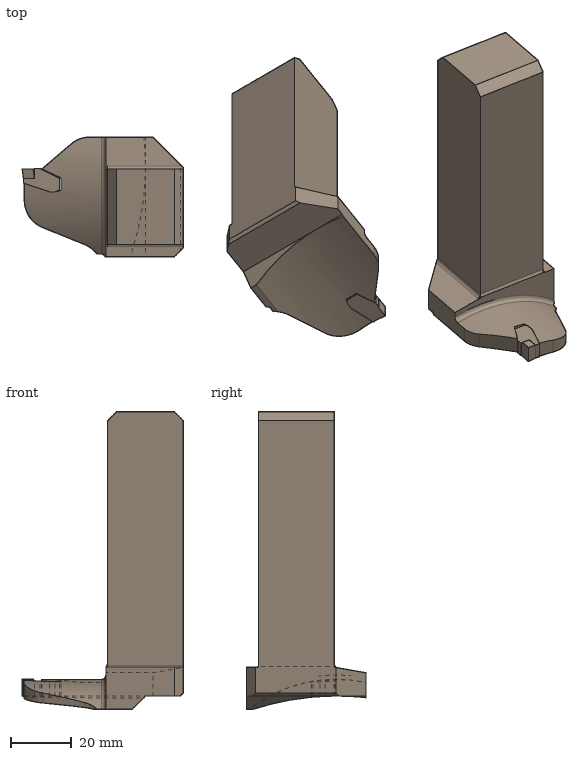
import cadquery as cq
import math


SHANK_WIDTH = 25.0
SHANK_HALF = SHANK_WIDTH / 2
TOTAL_HEIGHT = 98.05
SHANK_TOP_CHAMFER = 3.0

FOOT_LEFT = -13.0
FOOT_RIGHT = SHANK_HALF
FOOT_FRONT = -16.5
FOOT_BACK = 22.97
LEDGE_HEIGHT = 13.9
BACK_SLOPE_ANGLE = 10.0
BACK_CORNER_CHAMFER = 10.0
FRONT_CORNER_CHAMFER = 3.0
LOWER_CORNER_CHAMFER = 1.0
STEP_HEIGHT = 4.35
STEP_INNER_X = 0.0
SHANK_ROOT_RADIUS = 1.2
SHANK_FRONT_ROOT_RADIUS = 0.5

ARC_CENTER_Y = 13.1
BLADE_TOP_RADIUS = 46.65
BLADE_TOP_CREST = 9.85
BLADE_BOTTOM_RADIUS = 88.0
BLADE_BOTTOM_CREST = STEP_HEIGHT
BLADE_ROOT_RADIUS = 1.5

BLADE_TIP_X = -39.95
BACK_ARC_RADIUS = 9.0
BACK_ARC_X = -18.5
BACK_EDGE_ANGLE = 40.5
NOSE_RADIUS = 10.0
NOSE_START_Y = 2.35
FRONT_EDGE_ANGLE = 22.0
FRONT_EDGE_END_X = -20.1
THROAT_RADIUS = 10.0

INSERT_TIP_X = SHANK_HALF - 53.1
INSERT_TIP_Y = 12.45
INSERT_HEEL_X = -40.2
INSERT_HEEL_Y = 7.8
INSERT_SHOULDER_Y = 12.65
INSERT_SHOULDER_LEFT = -36.45
INSERT_SHOULDER_RIGHT = -34.65
INSERT_END_X = -28.25
INSERT_END_BACK_Y = 9.45
INSERT_END_FRONT_Y = 5.45
INSERT_CORNER_LEFT = -31.6
INSERT_CORNER_RIGHT = -29.7
INSERT_CORNER_Y = 4.95
INSERT_END_GAP = 0.4
INSERT_TOP_Z = 9.6
INSERT_TOP_DROP_ANGLE = 2.5
CHIP_LAND_Z = 10.03
CHIP_LAND_FRONT_Y = 9.4
CHIP_LAND_END_X = -37.0

STOCK_BOTTOM = -10.0
CUT_MARGIN = 5.0
EDGE_SEARCH = 0.1


def box_between(x_range, y_range, z_range):
    size = [high - low for low, high in (x_range, y_range, z_range)]
    corner = cq.Vector(x_range[0], y_range[0], z_range[0])
    return cq.Workplane("XY").box(*size, centered=False).translate(corner)


def cylinder_along_x(radius, crest, x_start, x_end):
    """A round bar along X whose highest line lies at the given height."""
    plane = cq.Workplane("YZ", origin=(x_start, ARC_CENTER_Y, crest - radius))
    return plane.circle(radius).extrude(x_end - x_start)


def make_shank():
    height = TOTAL_HEIGHT - LEDGE_HEIGHT
    shank = cq.Workplane("XY", origin=(0, 0, LEDGE_HEIGHT)).rect(SHANK_WIDTH, SHANK_WIDTH).extrude(height)
    shank = shank.faces(">Z").edges("|Y").chamfer(SHANK_TOP_CHAMFER)
    root = cq.Workplane("XY").rect(SHANK_WIDTH, SHANK_WIDTH).extrude(LEDGE_HEIGHT)
    return shank.union(root)


def make_foot_stock():
    """Foot block before its underside is trimmed."""
    back_drop = (FOOT_BACK - SHANK_HALF) * math.tan(math.radians(BACK_SLOPE_ANGLE))
    side_profile = [
        (FOOT_FRONT, STOCK_BOTTOM),
        (FOOT_BACK, STOCK_BOTTOM),
        (FOOT_BACK, LEDGE_HEIGHT - back_drop),
        (SHANK_HALF, LEDGE_HEIGHT),
        (FOOT_FRONT, LEDGE_HEIGHT),
    ]
    block = cq.Workplane("YZ", origin=(FOOT_LEFT, 0, 0)).polyline(side_profile).close()
    block = block.extrude(FOOT_RIGHT - FOOT_LEFT)
    block = block.edges("|Z and >X and >Y").chamfer(BACK_CORNER_CHAMFER)
    return block.edges("|Z and >X and <Y").chamfer(FRONT_CORNER_CHAMFER)


def make_blade_stock():
    """Blade outline under the upper cylinder, still solid below."""
    back_turn = math.radians(BACK_EDGE_ANGLE)
    front_turn = math.radians(FRONT_EDGE_ANGLE)

    back_center = (BACK_ARC_X, FOOT_BACK - BACK_ARC_RADIUS)

    def on_back_arc(turn):
        return (back_center[0] - BACK_ARC_RADIUS * math.sin(turn),
                back_center[1] + BACK_ARC_RADIUS * math.cos(turn))

    back_edge_start = on_back_arc(back_turn)
    back_edge_rise = back_edge_start[1] - INSERT_TIP_Y
    back_edge_end = (back_edge_start[0] - back_edge_rise / math.tan(back_turn), INSERT_TIP_Y)

    nose_center = (BLADE_TIP_X + NOSE_RADIUS, NOSE_START_Y)

    def on_nose(angle):
        return (nose_center[0] + NOSE_RADIUS * math.cos(angle),
                nose_center[1] + NOSE_RADIUS * math.sin(angle))

    nose_end_angle = 1.5 * math.pi - front_turn
    nose_end = on_nose(nose_end_angle)
    nose_middle = on_nose((math.pi + nose_end_angle) / 2)

    front_edge_run = FRONT_EDGE_END_X - nose_end[0]
    front_edge_end = (FRONT_EDGE_END_X, nose_end[1] - front_edge_run * math.tan(front_turn))

    throat_center = (front_edge_end[0] - THROAT_RADIUS * math.sin(front_turn),
                     front_edge_end[1] - THROAT_RADIUS * math.cos(front_turn))
    throat_start_angle = math.pi / 2 - front_turn
    throat_end_angle = math.asin((FOOT_FRONT - throat_center[1]) / THROAT_RADIUS)

    def on_throat(angle):
        return (throat_center[0] + THROAT_RADIUS * math.cos(angle),
                throat_center[1] + THROAT_RADIUS * math.sin(angle))

    outline = (
        cq.Workplane("XY", origin=(0, 0, STOCK_BOTTOM))
        .moveTo(FOOT_LEFT, FOOT_BACK)
        .lineTo(BACK_ARC_X, FOOT_BACK)
        .threePointArc(on_back_arc(back_turn / 2), back_edge_start)
        .lineTo(*back_edge_end)
        .lineTo(BLADE_TIP_X, INSERT_TIP_Y)
        .lineTo(BLADE_TIP_X, NOSE_START_Y)
        .threePointArc(nose_middle, nose_end)
        .lineTo(*front_edge_end)
        .threePointArc(on_throat((throat_start_angle + throat_end_angle) / 2), on_throat(throat_end_angle))
        .lineTo(FOOT_LEFT, FOOT_FRONT)
        .close()
    )
    prism = outline.extrude(BLADE_TOP_CREST + CUT_MARGIN - STOCK_BOTTOM)
    top = cylinder_along_x(BLADE_TOP_RADIUS, BLADE_TOP_CREST, BLADE_TIP_X - CUT_MARGIN, FOOT_LEFT)
    return prism.intersect(top)


def round_shank_root(body):
    """Radius the back and front sides of the shank where they stand on the foot."""
    def root_edge(y):
        return cq.selectors.NearestToPointSelector((0, y, LEDGE_HEIGHT))

    body = body.edges(root_edge(SHANK_HALF)).fillet(SHANK_ROOT_RADIUS)
    return body.edges(root_edge(-SHANK_HALF)).fillet(SHANK_FRONT_ROOT_RADIUS)


def make_left_root():
    """Root radius of the left shank side, cut off where it overhangs the narrow ledge."""
    ledge_width = -SHANK_HALF - FOOT_LEFT
    center_x = -SHANK_HALF - SHANK_ROOT_RADIUS
    center_z = LEDGE_HEIGHT + SHANK_ROOT_RADIUS
    start_angle = math.acos((SHANK_ROOT_RADIUS - ledge_width) / SHANK_ROOT_RADIUS)

    def on_arc(angle):
        return (center_x + SHANK_ROOT_RADIUS * math.cos(angle),
                center_z - SHANK_ROOT_RADIUS * math.sin(angle))

    return (
        cq.Workplane("XZ", origin=(0, SHANK_HALF, 0))
        .moveTo(-SHANK_HALF, center_z)
        .threePointArc(on_arc(start_angle / 2), on_arc(start_angle))
        .lineTo(FOOT_LEFT, LEDGE_HEIGHT)
        .lineTo(-SHANK_HALF, LEDGE_HEIGHT)
        .close()
        .extrude(SHANK_WIDTH)
    )


def trim_underside(body):
    """Cut the flat, the curved hollow, the step and the lower right corner."""
    x_range = (INSERT_TIP_X - CUT_MARGIN, FOOT_RIGHT + CUT_MARGIN)
    y_range = (FOOT_FRONT - CUT_MARGIN, FOOT_BACK + CUT_MARGIN)
    body = body.cut(box_between(x_range, y_range, (STOCK_BOTTOM - CUT_MARGIN, 0)))
    body = body.cut(cylinder_along_x(BLADE_BOTTOM_RADIUS, BLADE_BOTTOM_CREST, *x_range))
    step = (
        cq.Workplane("XZ", origin=(0, y_range[1], 0))
        .polyline([
            (STEP_INNER_X - STEP_HEIGHT, 0),
            (STEP_INNER_X, STEP_HEIGHT),
            (FOOT_RIGHT - LOWER_CORNER_CHAMFER, STEP_HEIGHT),
            (FOOT_RIGHT, STEP_HEIGHT + LOWER_CORNER_CHAMFER),
            (FOOT_RIGHT, 0),
        ])
        .close()
        .extrude(y_range[1] - y_range[0])
    )
    return body.cut(step)


def insert_plan_prism(end_x, top_z):
    """Insert outline in plan, standing on the curved underside, with its inner end at end_x."""
    outline = [
        (INSERT_TIP_X, INSERT_TIP_Y),
        (INSERT_SHOULDER_LEFT, INSERT_TIP_Y),
        (INSERT_SHOULDER_LEFT, INSERT_SHOULDER_Y),
        (INSERT_SHOULDER_RIGHT, INSERT_SHOULDER_Y),
        (end_x, INSERT_END_BACK_Y),
        (end_x, INSERT_END_FRONT_Y),
        (INSERT_CORNER_RIGHT, INSERT_CORNER_Y),
        (INSERT_CORNER_LEFT, INSERT_CORNER_Y),
        (INSERT_HEEL_X, INSERT_HEEL_Y),
        (INSERT_HEEL_X, CHIP_LAND_FRONT_Y),
    ]
    prism = cq.Workplane("XY").polyline(outline).close().extrude(top_z)
    hollow = cylinder_along_x(BLADE_BOTTOM_RADIUS, BLADE_BOTTOM_CREST, INSERT_TIP_X - CUT_MARGIN, FOOT_LEFT)
    return prism.cut(hollow)


def make_holder():
    foot = make_foot_stock().union(make_shank())
    foot = round_shank_root(foot)
    foot = foot.union(make_left_root())

    holder = foot.union(make_blade_stock())
    blade_root = cq.selectors.BoxSelector(
        (FOOT_LEFT - EDGE_SEARCH, FOOT_FRONT, 0), (FOOT_LEFT + EDGE_SEARCH, FOOT_BACK, BLADE_TOP_CREST))
    holder = holder.edges("not(|Z or |Y)").edges(blade_root).fillet(BLADE_ROOT_RADIUS)

    holder = trim_underside(holder)
    seat = insert_plan_prism(INSERT_END_X + INSERT_END_GAP, LEDGE_HEIGHT)
    return holder.cut(seat)


def make_insert():
    def top_at(x):
        return INSERT_TOP_Z - (x - INSERT_TIP_X) * math.tan(math.radians(INSERT_TOP_DROP_ANGLE))

    plan = insert_plan_prism(INSERT_END_X, LEDGE_HEIGHT)

    body_profile = [
        (INSERT_TIP_X, 0),
        (INSERT_TIP_X, top_at(INSERT_TIP_X)),
        (INSERT_END_X, top_at(INSERT_END_X)),
        (INSERT_END_X, 0),
    ]
    land_profile = [
        (INSERT_TIP_X, 0),
        (INSERT_TIP_X, CHIP_LAND_Z),
        (CHIP_LAND_END_X, CHIP_LAND_Z),
        (INSERT_SHOULDER_LEFT, top_at(INSERT_SHOULDER_LEFT)),
        (INSERT_SHOULDER_LEFT, 0),
    ]
    depth = INSERT_SHOULDER_Y
    side = cq.Workplane("XZ", origin=(0, depth, 0))
    body = side.polyline(body_profile).close().extrude(depth)
    land = side.polyline(land_profile).close().extrude(depth)

    land_slope = [
        (CHIP_LAND_FRONT_Y, 0),
        (CHIP_LAND_FRONT_Y, INSERT_TOP_Z),
        (INSERT_TIP_Y, CHIP_LAND_Z),
        (INSERT_TIP_Y, 0),
    ]
    slope_length = INSERT_END_X - INSERT_TIP_X
    slope = cq.Workplane("YZ", origin=(INSERT_TIP_X, 0, 0)).polyline(land_slope).close().extrude(slope_length)
    return plan.intersect(body.union(land.intersect(slope)))


holder = make_holder().solids()
insert = make_insert().solids()

result = cq.Compound.makeCompound([holder.val(), insert.val()])